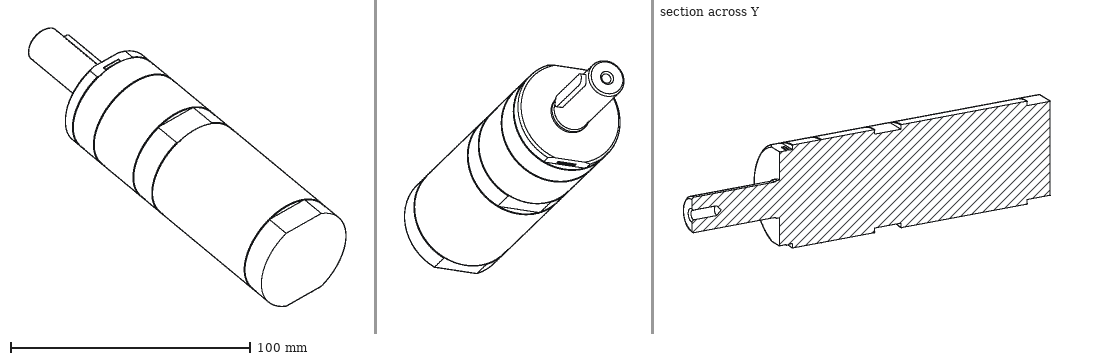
import cadquery as cq

total_length = 171.5
body_diameter = 46.0
body_radius = body_diameter / 2
across_flats = 41.8

body_start = 42.0
front_flat_end = 48.0
joint_ring = 61.7
middle_flat_start = 87.6
middle_flat_end = 100.0
rear_flat_start = 160.5

front_chamfer = 1.0
joint_groove_half_width = 0.25
joint_groove_depth = 0.25

shaft_diameter = 16.0
shaft_tip_chamfer = 0.9
shoulder_diameter = 17.0
shoulder_start = 40.8
shoulder_taper_start = 39.8
center_hole_diameter = 4.1
center_hole_mouth_diameter = 5.8
center_hole_depth = 12.0

key_start = 3.6
key_length = 29.8
key_width = 5.0
key_top = 10.1

mark_center = 46.0
mark_thickness = 1.4
mark_length = 8.0
mark_height = 0.25


def make_body():
    body_length = total_length - body_start
    body = cq.Workplane("YZ", origin=(body_start, 0, 0)).circle(body_radius).extrude(body_length)
    body = body.faces("<X").chamfer(front_chamfer)
    for station in (front_flat_end, joint_ring, middle_flat_start, middle_flat_end, rear_flat_start):
        body = body.cut(make_joint_groove(station))
    return body


def make_joint_groove(station):
    """V-shaped ring groove that marks the joint between two body sections."""
    return (
        cq.Workplane("XY")
        .moveTo(station - joint_groove_half_width, body_radius)
        .lineTo(station, body_radius - joint_groove_depth)
        .lineTo(station + joint_groove_half_width, body_radius)
        .close()
        .revolve(360, (0, 0, 0), (1, 0, 0))
    )


def make_flat_cutter(start, end):
    """Pair of blocks that leave two wrench flats facing +Z and -Z."""
    block_height = body_radius
    block_offset = (across_flats + block_height) / 2
    block = cq.Workplane("XY", origin=((start + end) / 2, 0, 0)).box(end - start, body_diameter, block_height)
    return block.translate((0, 0, block_offset)).union(block.translate((0, 0, -block_offset)))


def make_shaft():
    shaft_radius = shaft_diameter / 2
    shoulder_radius = shoulder_diameter / 2
    return (
        cq.Workplane("XY")
        .moveTo(0, 0)
        .lineTo(0, shaft_radius - shaft_tip_chamfer)
        .lineTo(shaft_tip_chamfer, shaft_radius)
        .lineTo(shoulder_taper_start, shaft_radius)
        .lineTo(shoulder_start, shoulder_radius)
        .lineTo(body_start, shoulder_radius)
        .lineTo(body_start, 0)
        .close()
        .revolve(360, (0, 0, 0), (1, 0, 0))
    )


def make_key():
    return (
        cq.Workplane("XZ", origin=(key_start + key_length / 2, 0, 0))
        .slot2D(key_length, key_width)
        .extrude(-key_top)
    )


def make_center_hole():
    hole_radius = center_hole_diameter / 2
    mouth_radius = center_hole_mouth_diameter / 2
    return (
        cq.Workplane("XY")
        .moveTo(0, 0)
        .lineTo(0, mouth_radius)
        .lineTo(mouth_radius - hole_radius, hole_radius)
        .lineTo(center_hole_depth, hole_radius)
        .lineTo(center_hole_depth + hole_radius, 0)
        .close()
        .revolve(360, (0, 0, 0), (1, 0, 0))
    )


def make_marks():
    """One bar through the front section, proud of both flats."""
    mark_span = across_flats + 2 * mark_height
    return cq.Workplane("XY", origin=(mark_center, 0, 0)).box(mark_thickness, mark_length, mark_span)


result = make_body()
for flat_start, flat_end in (
    (body_start, front_flat_end),
    (middle_flat_start, middle_flat_end),
    (rear_flat_start, total_length),
):
    result = result.cut(make_flat_cutter(flat_start, flat_end))
result = result.union(make_marks()).union(make_shaft()).union(make_key()).cut(make_center_hole())